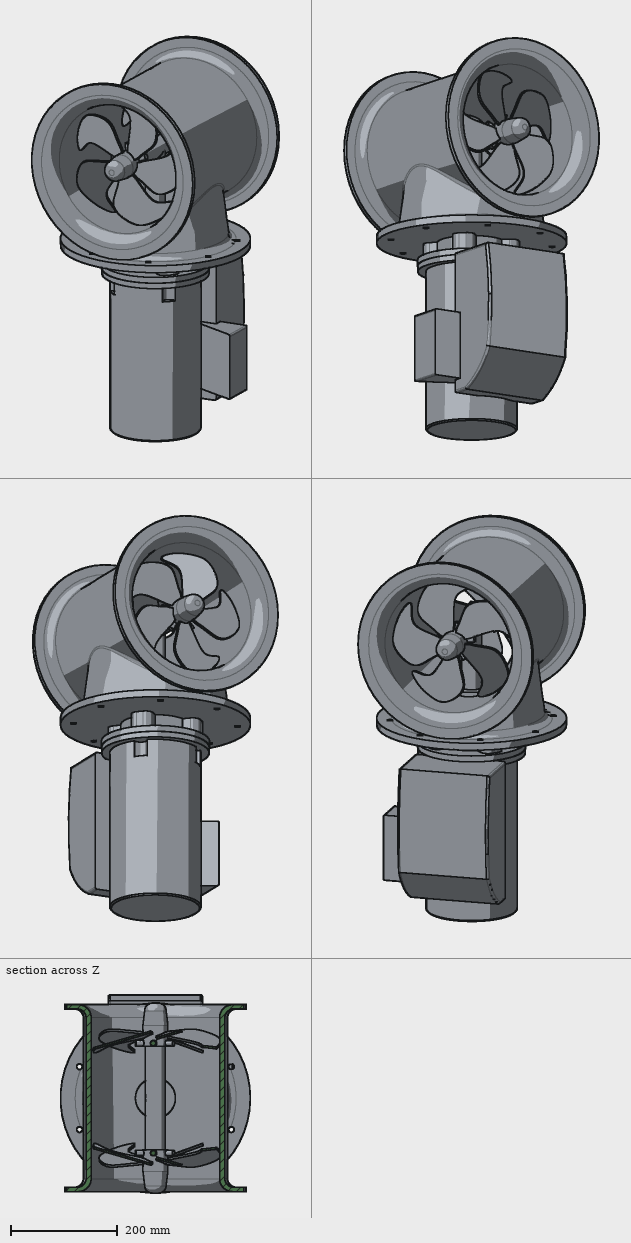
import cadquery as cq
import math

TUNNEL_OUTER_R = 270.0 / 2
TUNNEL_INNER_R = 250.0 / 2
TUNNEL_FLANGE_R = 340.0 / 2
TUNNEL_HALF_LENGTH = 175.0
TUNNEL_FLANGE_THICKNESS = 8.5
FLANGE_INNER_Y = TUNNEL_HALF_LENGTH - TUNNEL_FLANGE_THICKNESS
INNER_BELL_R = 24.5
OUTER_BELL_R = 16.5

BASE_R = 356.0 / 2
BASE_TOP_Z = -176.0
BASE_THICKNESS = 14.0
PEDESTAL_FOOT_R = 139.0
PEDESTAL_TAPER = 0.13
PEDESTAL_FOOT_FILLET = 14.0
PEDESTAL_NECK_FILLET = 6.5
BASE_HOLE_D = 10.0
BASE_HOLE_CIRCLE_R = 154.0
BASE_HOLE_COUNT = 8

FLOOR_BOSS_D = 12.0
FLOOR_BOSS_Y = -65.0
FLOOR_BOSS_TOP_Z = -109.0

ADAPTER_FLANGE_R = 203.0 / 2
ADAPTER_FLANGE_TOP_Z = -222.0
MOTOR_TOP_Z = -233.5
CORE_R = 130.0 / 2
RIB_WIDTH = 42.0
RIB_REACH = 90.5
RIB_ROUND = 14.5
STEM_R = 75.0 / 2
STEM_TOP_Z = -116.5
LEG_R = 19.0
GEAR_CASE_R = 19.0

HUB_R = 47.0 / 2
HUB_INNER_Y = 97.0
HUB_SHOULDER_Y = 136.5
NOSE_START_Y = 164.0
NOSE_START_R = 20.0
NOSE_TIP_Y = 178.0
NOSE_TIP_R = 11.0 / 2

BLADE_COUNT = 5
BLADE_FIRST_ANGLE = 55
BLADE_PITCH = -20
BLADE_THICKNESS = 4.0
BLADE_Y = 118.5
BLADE_HUB_EDGE = [(14.5, 7), (14.5, -7)]
BLADE_ROOT_LEADING = (31.5, -14.5)
BLADE_ROOT_TRAILING = (28.0, 19.0)
BLADE_LEADING_CURVE = [
    (56.0, -21.0), (79.0, -25.0), (109.0, 0), (118.0, 23.0), (111.5, 50.0), (90.0, 83.0), (79.0, 91.0)
]
BLADE_TRAILING_CURVE = [(71.0, 93.0), (71.0, 79.0), (71.0, 54.0), (57.0, 38.0)]
STUD_D = 11.0
STUD_REACH = 37.5
STUD_Y = 103.0
STUD_LEAD = 42

MOTOR_R = 171.0 / 2
MOTOR_FLANGE_R = 100.5
MOTOR_FLANGE_THICKNESS = 11.0
OVERALL_HEIGHT = 718.5
MOTOR_BOTTOM_Z = TUNNEL_FLANGE_R - OVERALL_HEIGHT
MOTOR_BOTTOM_CHAMFER = 3.0
BOLT_GROOVE_D = 25.0
BOLT_GROOVE_CIRCLE_R = 85.0
BOLT_GROOVE_BOTTOM_Z = -275.0

BOX_WIDTH = 177.0
BOX_FRONT_Y = 76.0
BOX_BACK_Y = 193.0
BOX_TOP_Z = MOTOR_TOP_Z
BOX_BOTTOM_Z = -501.5
BOX_EDGE_ROUND = 4.0
BOX_TOP_CORNER_Y = 182.5
BOX_BULGE = (BOX_BACK_Y, -334.0)
BOX_KNEE = (187.0, -433.0)
BOX_LOWER_BULGE = (157.0, -471.5)
BOX_BOTTOM_CORNER_Y = 111.0

TERMINAL_END_X = 144.5
TERMINAL_TOP_Z = -351.5
TERMINAL_BOTTOM_Z = -478.0
TERMINAL_FRONT_Y = 24.5
TERMINAL_BACK_Y = 93.5
TERMINAL_FRONT_SLANT = 25
TERMINAL_EDGE_ROUND = 3.0

BASE_BOTTOM_Z = BASE_TOP_Z - BASE_THICKNESS
TINY = 0.1
DIAGONALS = (45, 135, 225, 315)


def z_cylinder(radius, bottom_z, top_z):
    return cq.Workplane("XY").workplane(offset=bottom_z).circle(radius).extrude(top_z - bottom_z)


def on_circle(radius, angle):
    """Return the point at this radius and angle in degrees."""
    return radius * math.cos(math.radians(angle)), radius * math.sin(math.radians(angle))


def both_ends(shape):
    """Join a shape at the -Y end with its mirror image at the +Y end."""
    return shape.union(shape.mirror("XZ"))


def tunnel_tube():
    return cq.Workplane("XZ").circle(TUNNEL_OUTER_R).extrude(FLANGE_INNER_Y, both=True)


def tunnel_ends():
    """Flanges and the rounded flares that lead out to them."""
    end = (
        cq.Workplane("XY")
        .moveTo(0, -FLANGE_INNER_Y + OUTER_BELL_R)
        .lineTo(TUNNEL_OUTER_R, -FLANGE_INNER_Y + OUTER_BELL_R)
        .radiusArc((TUNNEL_OUTER_R + OUTER_BELL_R, -FLANGE_INNER_Y), -OUTER_BELL_R)
        .lineTo(TUNNEL_FLANGE_R, -FLANGE_INNER_Y)
        .lineTo(TUNNEL_FLANGE_R, -TUNNEL_HALF_LENGTH)
        .lineTo(0, -TUNNEL_HALF_LENGTH)
        .close()
        .revolve(360, (0, 0, 0), (0, 1, 0))
    )
    return both_ends(end)


def tunnel_bore():
    tube = cq.Workplane("XZ").circle(TUNNEL_INNER_R).extrude(TUNNEL_HALF_LENGTH, both=True)
    bell_start_y = -TUNNEL_HALF_LENGTH + INNER_BELL_R
    mouth = (
        cq.Workplane("XY")
        .moveTo(0, bell_start_y)
        .lineTo(TUNNEL_INNER_R, bell_start_y)
        .radiusArc((TUNNEL_INNER_R + INNER_BELL_R, -TUNNEL_HALF_LENGTH), -INNER_BELL_R)
        .lineTo(0, -TUNNEL_HALF_LENGTH)
        .close()
        .revolve(360, (0, 0, 0), (0, 1, 0))
    )
    return tube.union(both_ends(mouth))


def pedestal():
    """Cone from the base flange up to the tunnel axis."""
    height = -BASE_TOP_Z
    return (
        cq.Workplane("XZ")
        .lineTo(PEDESTAL_FOOT_R - PEDESTAL_TAPER * height, 0)
        .lineTo(PEDESTAL_FOOT_R, BASE_TOP_Z)
        .lineTo(0, BASE_TOP_Z)
        .close()
        .revolve(360, (0, 0, 0), (0, 1, 0))
    )


def base_holes():
    return (
        cq.Workplane("XY")
        .workplane(offset=BASE_BOTTOM_Z)
        .polarArray(BASE_HOLE_CIRCLE_R, 180 / BASE_HOLE_COUNT, 360, BASE_HOLE_COUNT)
        .circle(BASE_HOLE_D / 2)
        .extrude(2 * BASE_THICKNESS)
    )


def floor_boss():
    boss = z_cylinder(FLOOR_BOSS_D / 2, -(TUNNEL_INNER_R + TUNNEL_OUTER_R) / 2, FLOOR_BOSS_TOP_Z)
    return boss.translate((0, FLOOR_BOSS_Y, 0))


def build_housing():
    tube = tunnel_tube()
    ends = tunnel_ends()
    stand = tube.union(pedestal())
    stand = stand.edges("not %CIRCLE").edges("not %LINE").fillet(PEDESTAL_NECK_FILLET)
    stand = stand.union(z_cylinder(BASE_R, BASE_BOTTOM_Z, BASE_TOP_Z))
    on_base_top = cq.selectors.BoxSelector(
        (-BASE_R, -BASE_R, BASE_TOP_Z - TINY), (BASE_R, BASE_R, BASE_TOP_Z + TINY), True
    )
    stand = stand.edges(on_base_top).edges(cq.selectors.RadiusNthSelector(0)).fillet(PEDESTAL_FOOT_FILLET)
    stem_bore = z_cylinder(STEM_R, BASE_BOTTOM_Z, STEM_TOP_Z)
    shell = stand.union(ends).cut(tunnel_bore()).cut(stem_bore).cut(base_holes())
    return shell.union(floor_boss())


def adapter():
    body = z_cylinder(ADAPTER_FLANGE_R, MOTOR_TOP_Z, ADAPTER_FLANGE_TOP_Z)
    body = body.union(z_cylinder(CORE_R, MOTOR_TOP_Z, BASE_BOTTOM_Z))
    height = BASE_BOTTOM_Z - ADAPTER_FLANGE_TOP_Z
    rib = cq.Workplane("XY").box(RIB_REACH, RIB_WIDTH, height, centered=(False, True, False))
    rib = rib.translate((0, 0, ADAPTER_FLANGE_TOP_Z))
    rib = rib.faces(">X").edges("|Z").fillet(RIB_ROUND)
    for angle in DIAGONALS:
        body = body.union(rib.rotate((0, 0, 0), (0, 0, 1), angle))
    return body


def hub():
    return (
        cq.Workplane("XY")
        .moveTo(0, -HUB_INNER_Y)
        .lineTo(HUB_R, -HUB_INNER_Y)
        .lineTo(HUB_R, -HUB_SHOULDER_Y)
        .lineTo(NOSE_START_R, -NOSE_START_Y)
        .radiusArc((NOSE_TIP_R, -NOSE_TIP_Y), NOSE_START_R - NOSE_TIP_R)
        .lineTo(0, -NOSE_TIP_Y)
        .close()
        .revolve(360, (0, 0, 0), (0, 1, 0))
    )


def blade():
    """One blade along +X before it is turned to its place about Y; +Z is the side its tip sweeps to."""
    plate = (
        cq.Workplane("XZ")
        .polyline([*BLADE_HUB_EDGE, BLADE_ROOT_LEADING])
        .spline(BLADE_LEADING_CURVE, includeCurrent=True)
        .spline([*BLADE_TRAILING_CURVE, BLADE_ROOT_TRAILING], includeCurrent=True)
        .close()
        .extrude(BLADE_THICKNESS / 2, both=True)
    )
    return plate.rotate((0, 0, 0), (1, 0, 0), BLADE_PITCH).translate((0, -BLADE_Y, 0))


def propeller():
    wheel = hub()
    stud = cq.Workplane("YZ").center(-STUD_Y, 0).circle(STUD_D / 2).extrude(STUD_REACH)
    for i in range(BLADE_COUNT):
        angle = BLADE_FIRST_ANGLE + i * 360 / BLADE_COUNT
        wheel = wheel.union(blade().rotate((0, 0, 0), (0, 1, 0), -angle))
        wheel = wheel.union(stud.rotate((0, 0, 0), (0, 1, 0), -angle - STUD_LEAD))
    return wheel


def build_drive():
    stem = z_cylinder(STEM_R, BASE_BOTTOM_Z, STEM_TOP_Z)
    leg = z_cylinder(LEG_R, STEM_TOP_Z, 0)
    gear_case = cq.Workplane("XZ").circle(GEAR_CASE_R).extrude(HUB_INNER_Y, both=True)
    return adapter().union(stem).union(leg).union(gear_case).union(both_ends(propeller()))


def controller_box():
    box = (
        cq.Workplane("YZ")
        .workplane(offset=-BOX_WIDTH / 2)
        .moveTo(BOX_FRONT_Y, BOX_TOP_Z)
        .lineTo(BOX_TOP_CORNER_Y, BOX_TOP_Z)
        .threePointArc(BOX_BULGE, BOX_KNEE)
        .threePointArc(BOX_LOWER_BULGE, (BOX_BOTTOM_CORNER_Y, BOX_BOTTOM_Z))
        .lineTo(BOX_FRONT_Y, BOX_BOTTOM_Z)
        .close()
        .extrude(BOX_WIDTH)
    )
    return box.faces("<X or >X").edges("not <Y").fillet(BOX_EDGE_ROUND)


def terminal_box():
    slant_rise = TERMINAL_END_X * math.tan(math.radians(TERMINAL_FRONT_SLANT))
    return (
        cq.Workplane("XY")
        .workplane(offset=TERMINAL_BOTTOM_Z)
        .moveTo(0, TERMINAL_FRONT_Y + slant_rise)
        .lineTo(TERMINAL_END_X, TERMINAL_FRONT_Y)
        .lineTo(TERMINAL_END_X, TERMINAL_BACK_Y)
        .lineTo(0, TERMINAL_BACK_Y)
        .close()
        .extrude(TERMINAL_TOP_Z - TERMINAL_BOTTOM_Z)
        .faces(">X")
        .edges("|Y")
        .fillet(TERMINAL_EDGE_ROUND)
    )


def build_motor():
    can = z_cylinder(MOTOR_R, MOTOR_BOTTOM_Z, MOTOR_TOP_Z).faces("<Z").chamfer(MOTOR_BOTTOM_CHAMFER)
    flange_bottom_z = MOTOR_TOP_Z - MOTOR_FLANGE_THICKNESS
    for angle in DIAGONALS:
        groove = z_cylinder(BOLT_GROOVE_D / 2, BOLT_GROOVE_BOTTOM_Z, flange_bottom_z)
        can = can.cut(groove.translate((*on_circle(BOLT_GROOVE_CIRCLE_R, angle), 0)))
    flange = z_cylinder(MOTOR_FLANGE_R, flange_bottom_z, MOTOR_TOP_Z)
    return can.union(flange).union(controller_box()).union(terminal_box())


housing = build_housing().solids()
drive = build_drive().solids()
motor = build_motor().solids()

result = cq.Compound.makeCompound([housing.val(), drive.val(), motor.val()])